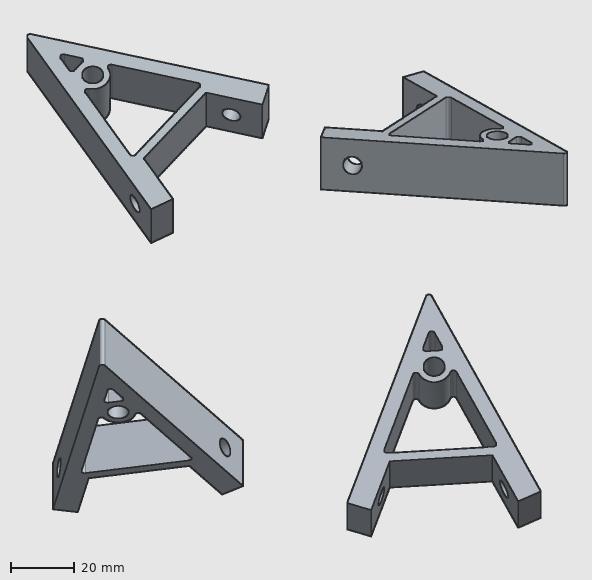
import cadquery as cq
import math

overall_length = 78.6
height = 18.0
opening_angle = 45.0
half_angle = opening_angle / 2
arm_thickness = 8.0

corner_radius = 1.0

wall_thickness = 5.0
small_pocket_distance = 21.8
strut_distance = 60.0
strut_thickness = 3.0

boss_distance = 27.4
boss_radius = 5.5
boss_hole_diameter = 6.7

screw_hole_diameter = 6.0
screw_hole_inset = 10.1

sine = math.sin(math.radians(half_angle))
cosine = math.cos(math.radians(half_angle))
tangent = sine / cosine
vertex_setback = corner_radius * (1 / tangent - 1)
arm_length = overall_length + vertex_setback


def wedge(wall, far):
    """Triangular prism about +X, kept `wall` inside the outer arm faces and ending at X = far."""
    tip = wall / sine
    half_width = (far - tip) * tangent
    points = [(tip, 0), (far, -half_width), (far, half_width)]
    return cq.Workplane("XY").polyline(points).close().extrude(height)


def arm(side):
    """Straight arm on one side of the bisector (+1 or -1), cut to a point at the vertex."""
    return (
        cq.Workplane("XY")
        .rect(arm_length, -side * arm_thickness, centered=False)
        .extrude(height)
        .rotate((0, 0, 0), (0, 0, 1), side * half_angle)
        .intersect(wedge(0, arm_length))
    )


def screw_hole(side):
    """Cylinder square to the outer face of one arm, reaching through its full thickness."""
    return (
        cq.Workplane("XZ")
        .center(arm_length - screw_hole_inset, height / 2)
        .circle(screw_hole_diameter / 2)
        .extrude(arm_thickness, both=True)
        .rotate((0, 0, 0), (0, 0, 1), side * half_angle)
    )


def boss_cylinder(radius):
    return cq.Workplane("XY").center(boss_distance, 0).circle(radius).extrude(height)


small_pocket = wedge(wall_thickness, small_pocket_distance)
small_pocket = small_pocket.edges("|Z").fillet(corner_radius)

large_pocket = wedge(wall_thickness, strut_distance - strut_thickness)
large_pocket = large_pocket.cut(boss_cylinder(boss_radius)).solids(">X")
large_pocket = large_pocket.edges("|Z").fillet(corner_radius)

body = wedge(0, strut_distance)
for side in (1, -1):
    body = body.union(arm(side))
body = body.edges("|Z and <X").fillet(corner_radius)

body = body.cut(small_pocket).cut(large_pocket).cut(boss_cylinder(boss_hole_diameter / 2))
for side in (1, -1):
    body = body.cut(screw_hole(side))

result = body.rotate((0, 0, 0), (0, 0, 1), half_angle).translate((-vertex_setback, 0, 0))